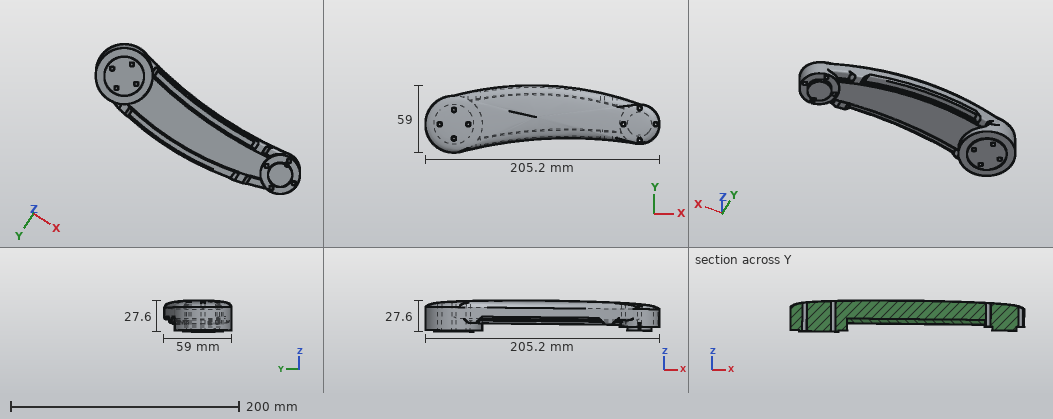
import cadquery as cq
import math


ARM_LENGTH = 205.0
ELBOW_RADIUS = 25.0
WRIST_RADIUS = 17.5
WRIST_X = ARM_LENGTH - ELBOW_RADIUS - WRIST_RADIUS
ELBOW_BOTTOM = -20.3
WRIST_BOTTOM = -15.5
DISC_HEIGHT = 1.0
HUB_RADIUS = 10.7
HUB_HEIGHT = 3.3

BACK_PEAK = (73.9, 34.0)
FRONT_START_X = 3.5
FRONT_PEAK = (94.4, -12.3)
ARM_BOTTOM = -9.9
ARM_EDGE_ROUND = 1.8

APEX = (71.8, 6.2, 6.8)
DOME_CONTOURS = [(0.95, 2.7), (0.85, 4.3), (0.65, 5.5), (0.35, 6.4)]

FOOT_BOTTOM = -13.5
FOOT_SLOPE = 5.5
FOOT_SPANS = [(12.3, 19.5), (132.0, 139.0)]
FOOT_EDGE_ROUND = 1.5

LID_BOTTOM = -14.0
LID_INSET = 8.2
FLANGE_BOTTOM = -11.5
FLANGE_INSET = 7.2

HOLES_PER_POD = 4
HOLE_RADIUS = 1.8
ELBOW_BOLT_RADIUS = 12.5
WRIST_BOLT_RADIUS = 14.2
KEY_WIDTH = 1.8
KEY_HEIGHT = 3.3
KEY_DEPTH = 1.2

TILT_DEGREES = 0.6


def cylinder(x, radius, bottom, top):
    return cq.Workplane("XY", (x, 0, bottom)).circle(radius).extrude(top - bottom)


def lean(body):
    return body.rotate((0, 0, 0), (0, 1, 0), TILT_DEGREES)


def arm_outline(level, scale=1.0):
    """Closed outline of the arm, shrunk towards the apex by the scale."""

    def shrunk(x, y):
        return (APEX[0] + scale * (x - APEX[0]), APEX[1] + scale * (y - APEX[1]))

    back_start = shrunk(0, ELBOW_RADIUS)
    back_end = shrunk(WRIST_X, WRIST_RADIUS)
    front_start = shrunk(FRONT_START_X, -math.sqrt(ELBOW_RADIUS**2 - FRONT_START_X**2))
    front_end = shrunk(WRIST_X, -WRIST_RADIUS)
    return (
        cq.Workplane("XY", (0, 0, level))
        .moveTo(*back_start)
        .threePointArc(shrunk(*BACK_PEAK), back_end)
        .threePointArc(shrunk(WRIST_X + WRIST_RADIUS, 0), front_end)
        .threePointArc(shrunk(*FRONT_PEAK), front_start)
        .threePointArc(shrunk(-ELBOW_RADIUS, 0), back_start)
        .close()
    )


def arm_slab(bottom, top, inset=0.0):
    outline = arm_outline(bottom)
    if inset:
        outline = outline.offset2D(-inset)
    return outline.extrude(top - bottom)


def dome():
    """Smooth cap that rises from the rim to the apex."""
    contours = [(1.0, 0.0), *DOME_CONTOURS]
    wires = [arm_outline(height, scale).val() for scale, height in contours]
    apex = cq.Vertex.makeVertex(*APEX)
    return cq.Workplane(cq.occ_impl.shapes.loft([*wires, apex], cap=True))


def pods():
    """Plain cylinders of both pods, from the rim down."""
    elbow = cylinder(0, ELBOW_RADIUS, ELBOW_BOTTOM, 0)
    wrist = cylinder(WRIST_X, WRIST_RADIUS, WRIST_BOTTOM, 0)
    return elbow.union(wrist)


def arm_walls():
    """Arm below the rim, rounded along its bottom edge, ending at the pods."""
    slab = arm_slab(ARM_BOTTOM, 0).faces("<Z").edges().fillet(ARM_EDGE_ROUND)
    return slab.cut(pods())


def feet():
    """Pads with sloped ends that carry the arm walls further down."""
    top = ARM_BOTTOM + ARM_EDGE_ROUND
    reach = 2 * BACK_PEAK[1]
    profile = cq.Workplane("XZ", (0, reach / 2, 0))
    for start, end in FOOT_SPANS:
        profile = (
            profile.moveTo(start - FOOT_SLOPE, top)
            .lineTo(start, FOOT_BOTTOM)
            .lineTo(end, FOOT_BOTTOM)
            .lineTo(end + FOOT_SLOPE, top)
            .close()
        )
    pads = arm_slab(FOOT_BOTTOM, top).faces("<Z").edges().fillet(FOOT_EDGE_ROUND)
    return pads.intersect(profile.extrude(reach)).cut(pods())


def make_lid():
    """Plate under the arm, with a thin flange around its upper edge."""
    plate = arm_slab(LID_BOTTOM, ARM_BOTTOM, LID_INSET)
    flange = arm_slab(FLANGE_BOTTOM, ARM_BOTTOM, FLANGE_INSET)
    return plate.union(flange).cut(pods())


def keyway():
    """Slot down the front of the wrist pod's lower edge and into the hub."""
    hub_bottom = WRIST_BOTTOM - HUB_HEIGHT
    slot_back = KEY_DEPTH - HUB_RADIUS
    length = WRIST_RADIUS + slot_back
    return (
        cq.Workplane("XY", (WRIST_X, slot_back - length / 2, hub_bottom))
        .rect(KEY_WIDTH, length)
        .extrude(HUB_HEIGHT + KEY_HEIGHT)
    )


def bolt_holes(x, bolt_radius):
    """Ring of holes through the whole height of a pod."""
    bottom = ELBOW_BOTTOM - DISC_HEIGHT
    return (
        cq.Workplane("XY", (x, 0, bottom))
        .polarArray(bolt_radius, 0, 360, HOLES_PER_POD)
        .circle(HOLE_RADIUS)
        .extrude(APEX[2] - bottom)
    )


def make_housing(lid):
    disc = cylinder(0, WRIST_RADIUS, ELBOW_BOTTOM - DISC_HEIGHT, ELBOW_BOTTOM)
    hub = cylinder(WRIST_X, HUB_RADIUS, WRIST_BOTTOM - HUB_HEIGHT, WRIST_BOTTOM)
    arm = arm_walls().union(feet()).cut(lid)
    body = arm.union(pods()).union(dome()).union(disc).union(hub)
    body = body.cut(bolt_holes(0, ELBOW_BOLT_RADIUS))
    body = body.cut(bolt_holes(WRIST_X, WRIST_BOLT_RADIUS))
    return body.cut(keyway())


level_lid = make_lid()
housing = lean(make_housing(level_lid))
lid = lean(level_lid)
result = cq.Compound.makeCompound([housing.solids().val(), lid.solids().val()])